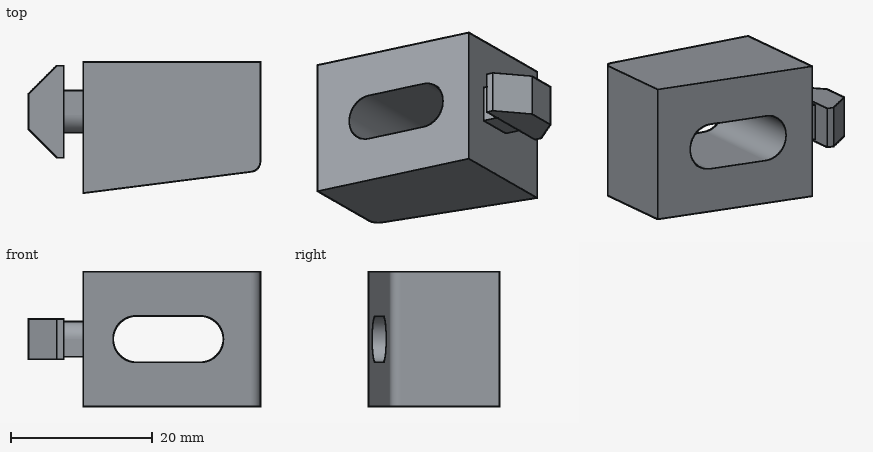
import cadquery as cq

body_length = 25.0
body_height = 19.0
body_depth_left = 18.5
body_depth_right = 15.32
corner_radius = 1.5

slot_width = 6.5
slot_travel = 9.0
slot_length = slot_travel + slot_width
slot_center_x = 12.0

key_center_y = -7.0
neck_length = 2.7
neck_width = 6.0
neck_height = 5.0
neck_corner_radius = neck_height / 2
head_thickness = 5.0
head_width = 13.0
head_height = 5.7
head_chamfer = 4.0


def make_body():
    """Block with a tapered front face and a rounded front right edge."""
    block = (
        cq.Workplane("XY")
        .polyline([
            (0, 0),
            (body_length, 0),
            (body_length, -body_depth_right),
            (0, -body_depth_left),
        ])
        .close()
        .extrude(body_height / 2, both=True)
    )
    return block.edges("|Z").edges(">X").edges("<Y").fillet(corner_radius)


def make_slot():
    """Round-ended cutter running through the full depth of the body."""
    return (
        cq.Workplane("XZ")
        .center(slot_center_x, 0)
        .slot2D(slot_length, slot_width)
        .extrude(body_depth_left)
    )


def make_neck():
    """Bar with its upper front edge rounded down to mid height."""
    bar = (
        cq.Workplane("XY")
        .box(neck_length, neck_width, neck_height)
        .edges("|X")
        .edges(">Z")
        .edges("<Y")
        .fillet(neck_corner_radius)
    )
    return bar.translate((-neck_length / 2, key_center_y, 0))


def make_head():
    """Plate with both outer corners chamfered."""
    plate = (
        cq.Workplane("XY")
        .box(head_thickness, head_width, head_height)
        .edges("|Z and <X")
        .chamfer(head_chamfer)
    )
    return plate.translate((-neck_length - head_thickness / 2, key_center_y, 0))


result = make_body().cut(make_slot()).union(make_neck()).union(make_head())